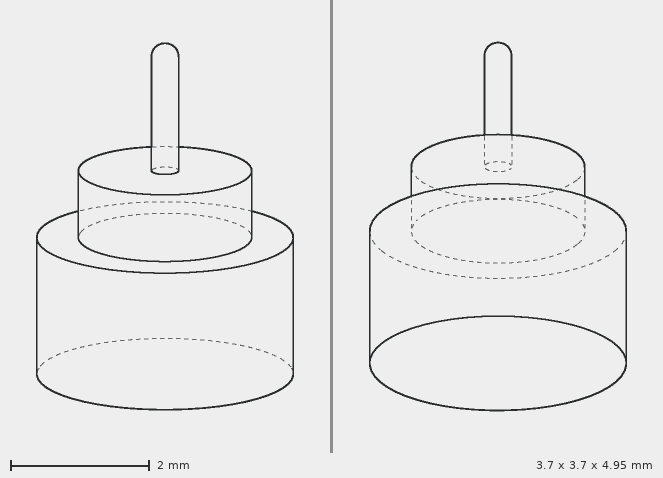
import cadquery as cq

total_height = 4.95
base_diameter = 3.7
base_height = 2.05

collar_diameter = 2.5
collar_height = 1.0

pin_diameter = 0.395
tip_rounding = 0.19

collar_top = base_height + collar_height
pin_length = total_height - collar_top

base = cq.Workplane("XY").circle(base_diameter / 2).extrude(base_height)

collar = (
    cq.Workplane("XY", origin=(0, 0, base_height))
    .circle(collar_diameter / 2)
    .extrude(collar_height)
)

pin = (
    cq.Workplane("XY", origin=(0, 0, collar_top))
    .circle(pin_diameter / 2)
    .extrude(pin_length)
    .faces(">Z")
    .edges()
    .fillet(tip_rounding)
)

result = base.union(collar).union(pin)